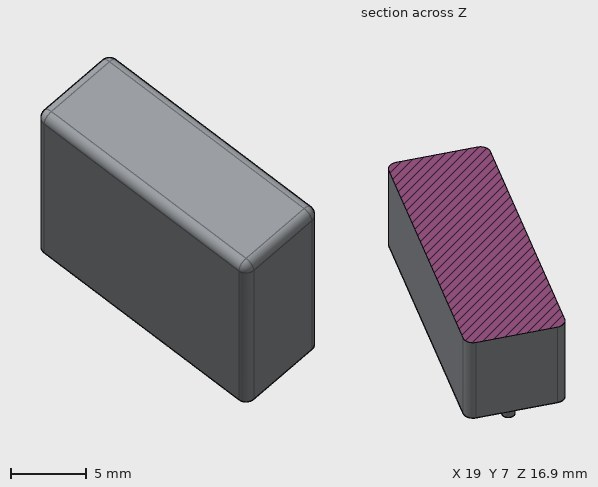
import cadquery as cq

body_length = 19.0
body_width = 7.0
body_height = 15.0
edge_radius = 0.7

lead_diameter = 0.9
lead_pitch = 15.0
lead_length = 1.9


def make_body():
    """Box standing on Z = 0 with rounded upright and top edges."""
    box = cq.Workplane("XY").box(
        body_length, body_width, body_height, centered=(True, True, False)
    )
    return box.edges("|Z or >Z").fillet(edge_radius)


def make_lead(x_position):
    """Round lead hanging down from the underside of the body."""
    return (
        cq.Workplane("XY")
        .center(x_position, 0)
        .circle(lead_diameter / 2)
        .extrude(-lead_length)
    )


result = make_body()
for side in (-1, 1):
    result = result.union(make_lead(side * lead_pitch / 2))